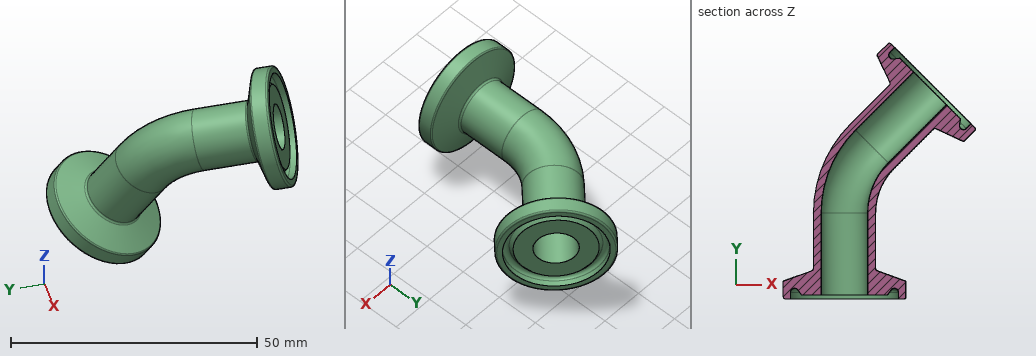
import cadquery as cq
import math

TUBE_DIAMETER = 12.7
BORE_DIAMETER = 9.4
BEND_ANGLE = 45.0
BEND_RADIUS = 1.5 * TUBE_DIAMETER
LEG_LENGTH = 17.49

FLANGE_DIAMETER = 24.99
RIM_WIDTH = 3.63
CONE_ANGLE = 20.0
FACE_EDGE_RADIUS = 0.38
BACK_EDGE_RADIUS = 0.35
NECK_RADIUS = 0.5

HUB_RECESS = 0.8
HUB_DIAMETER = 17.5
GROOVE_OUTER_DIAMETER = 21.89
GROOVE_WALL_ANGLE = 37.0
GROOVE_WALL_RUN = 0.78

SELECTION_MARGIN = 0.01


def bend_point(angle):
    """Point on the bend's centre line, at an angle in degrees past its start."""
    turned = math.radians(angle)
    x = BEND_RADIUS * (1 - math.cos(turned))
    y = LEG_LENGTH + BEND_RADIUS * math.sin(turned)
    return (x, y)


def bend_path():
    """Centre line of the bend, from the first leg into the second."""
    start = cq.Workplane("XY").moveTo(*bend_point(0))
    return start.threePointArc(bend_point(BEND_ANGLE / 2), bend_point(BEND_ANGLE))


def make_bend(diameter):
    """Solid elbow of the given diameter."""
    start = cq.Workplane("XZ", origin=(0, LEG_LENGTH, 0))
    return start.circle(diameter / 2).sweep(bend_path())


def revolve_about_y(profile):
    """Close an outline in the XY plane and turn it fully about the Y axis."""
    return profile.close().revolve(360, (0, 0, 0), (0, 1, 0))


def edge_at(radius, y):
    """Selector for the round edge of the given radius about Y, at distance y from the face."""
    reach = radius + SELECTION_MARGIN
    low = (-reach, y - SELECTION_MARGIN, -reach)
    high = (reach, y + SELECTION_MARGIN, reach)
    return cq.selectors.BoxSelector(low, high, boundingbox=True)


def make_leg_body():
    """Ferrule and straight tube, along +Y with the face at Y = 0."""
    tube_radius = TUBE_DIAMETER / 2
    flange_radius = FLANGE_DIAMETER / 2
    cone_length = (flange_radius - tube_radius) * math.tan(math.radians(CONE_ANGLE))
    neck_y = RIM_WIDTH + cone_length
    body = revolve_about_y(
        cq.Workplane("XY")
        .lineTo(flange_radius, 0)
        .lineTo(flange_radius, RIM_WIDTH)
        .lineTo(tube_radius, neck_y)
        .lineTo(tube_radius, LEG_LENGTH)
        .lineTo(0, LEG_LENGTH)
    )

    body = body.edges(edge_at(flange_radius, 0)).fillet(FACE_EDGE_RADIUS)
    body = body.edges(edge_at(flange_radius, RIM_WIDTH)).fillet(BACK_EDGE_RADIUS)
    return body.edges(edge_at(tube_radius, neck_y)).fillet(NECK_RADIUS)


def make_face_recess():
    """Cutter for the hub recess and gasket groove in the face at Y = 0."""
    hub_radius = HUB_DIAMETER / 2
    outer_radius = GROOVE_OUTER_DIAMETER / 2
    wall_angle = math.radians(GROOVE_WALL_ANGLE)
    wall_end_radius = hub_radius + GROOVE_WALL_RUN
    wall_end_y = HUB_RECESS + GROOVE_WALL_RUN / math.tan(wall_angle)
    bottom_radius = (outer_radius - wall_end_radius) / (1 + math.cos(wall_angle))
    arc_centre_y = wall_end_y - bottom_radius * math.sin(wall_angle)
    return revolve_about_y(
        cq.Workplane("XY")
        .lineTo(0, HUB_RECESS)
        .lineTo(hub_radius, HUB_RECESS)
        .lineTo(wall_end_radius, wall_end_y)
        .tangentArcPoint((outer_radius, arc_centre_y), relative=False)
        .lineTo(outer_radius, 0)
    )


def make_bore():
    """Straight bore through one leg."""
    return cq.Workplane("XZ").circle(BORE_DIAMETER / 2).extrude(-LEG_LENGTH)


def place_second_leg(leg):
    """Turn a leg round to the far end of the bend."""
    mirrored = leg.mirror("XZ", (0, LEG_LENGTH, 0))
    axis_start = (BEND_RADIUS, LEG_LENGTH, 0)
    axis_end = (BEND_RADIUS, LEG_LENGTH, 1)
    return mirrored.rotate(axis_start, axis_end, -BEND_ANGLE)


leg = make_leg_body().cut(make_face_recess()).cut(make_bore())
bend = make_bend(TUBE_DIAMETER).cut(make_bend(BORE_DIAMETER))

result = bend.union(leg).union(place_second_leg(leg))